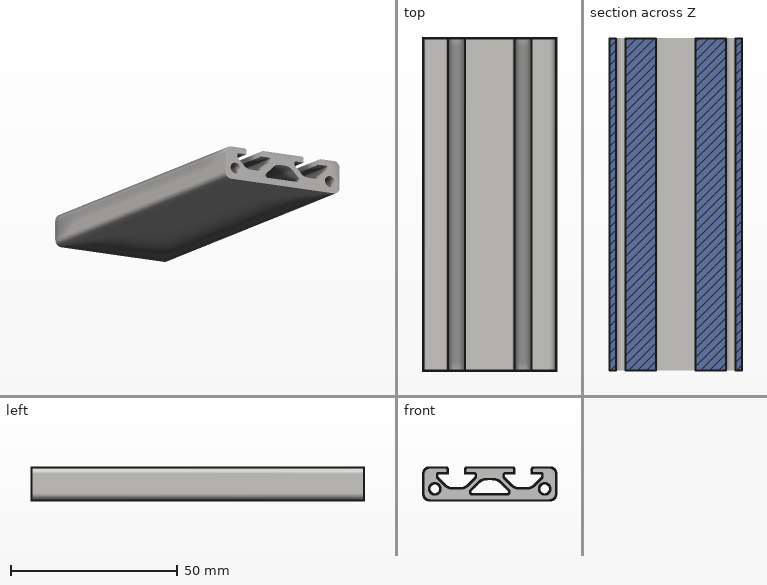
import cadquery as cq

width = 40.0
length = 100.0
height = 10.0
corner_radius = 2.0

selection_margin = 0.01

slot_offset = width / 4
slot_opening = 5.2
lip_thickness = 1.8
lip_radius = 0.7
chamber_half_width = 5.8
chamber_floor_z = 3.7
floor_half_width = 2.5
chamber_top_radius = 0.5
chamber_side_radius = 0.5
chamber_floor_radius = 3.0

cavity_floor_z = 1.9
cavity_top_z = 6.4
cavity_top_half_width = 2.4
cavity_floor_radius = 0.7
cavity_top_radius = 3.5

bore_diameter = 3.3
bore_offset = 16.5
bore_z = 3.5


def extrude_outline(points):
    """Extrude a closed XZ outline along the bar, centred on Y."""
    return cq.Workplane("XZ").polyline(points).close().extrude(length / 2, both=True)


def round_edges_at_height(solid, z, radius, x=0, reach=width):
    """Round the lengthwise edges at height z, within reach of x."""
    selector = cq.selectors.BoxSelector(
        (x - reach, -selection_margin, z - selection_margin),
        (x + reach, selection_margin, z + selection_margin),
    )
    return solid.edges("|Y").edges(selector).fillet(radius)


def make_chamber(x):
    """Wide part of a T-slot, with 45 degree flanks down to a narrow floor."""
    top_z = height - lip_thickness
    flank_top_z = chamber_floor_z + chamber_half_width - floor_half_width
    chamber = extrude_outline([
        (x - chamber_half_width, top_z),
        (x - chamber_half_width, flank_top_z),
        (x - floor_half_width, chamber_floor_z),
        (x + floor_half_width, chamber_floor_z),
        (x + chamber_half_width, flank_top_z),
        (x + chamber_half_width, top_z),
    ])
    chamber = round_edges_at_height(chamber, top_z, chamber_top_radius)
    chamber = round_edges_at_height(chamber, flank_top_z, chamber_side_radius)
    return round_edges_at_height(chamber, chamber_floor_z, chamber_floor_radius)


def make_opening(x):
    """Narrow mouth of a T-slot, from the chamber up to the top face."""
    mouth = cq.Workplane("XY").box(slot_opening, length, lip_thickness)
    return mouth.translate((x, 0, height - lip_thickness / 2))


def make_cavity():
    """Closed trapezoidal cavity through the middle of the bar."""
    floor_half = cavity_top_half_width + cavity_top_z - cavity_floor_z
    cavity = extrude_outline([
        (-floor_half, cavity_floor_z),
        (floor_half, cavity_floor_z),
        (cavity_top_half_width, cavity_top_z),
        (-cavity_top_half_width, cavity_top_z),
    ])
    cavity = round_edges_at_height(cavity, cavity_floor_z, cavity_floor_radius)
    return round_edges_at_height(cavity, cavity_top_z, cavity_top_radius)


def make_bore(x):
    """Round bore through the full length of the bar."""
    return (
        cq.Workplane("XZ")
        .center(x, bore_z)
        .circle(bore_diameter / 2)
        .extrude(length / 2, both=True)
    )


result = cq.Workplane("XY").box(width, length, height, centered=(True, True, False))
result = result.edges("|Y").fillet(corner_radius)

for side in (-1, 1):
    slot_x = side * slot_offset
    result = result.cut(make_opening(slot_x))

    result = round_edges_at_height(result, height, lip_radius, slot_x, slot_opening)

    result = result.cut(make_chamber(slot_x))
    result = result.cut(make_bore(side * bore_offset))

result = result.cut(make_cavity())